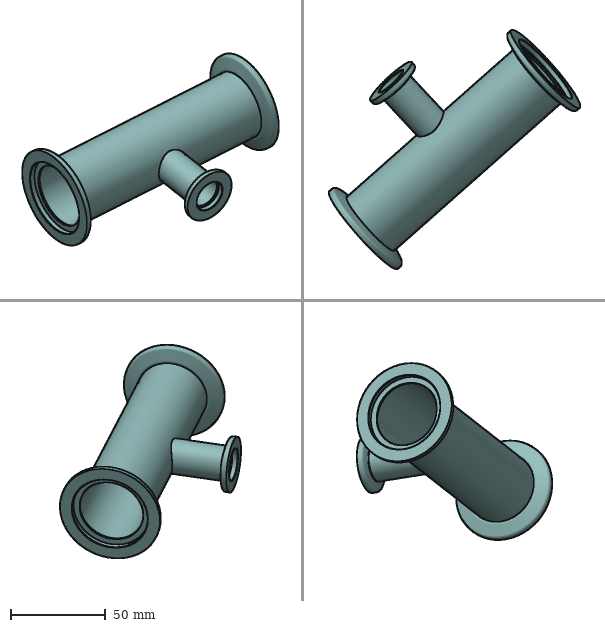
import cadquery as cq
import math

overall_length = 130.0
run_outer_radius = 19.0
run_bore_radius = 17.4
branch_reach = 50.0
branch_outer_radius = 9.5
branch_bore_radius = 8.0

run_flange_radius = 27.4
run_flange_thickness = 5.1
run_recess_radius = 20.7
branch_flange_radius = 15.0
branch_flange_thickness = 4.5
branch_recess_radius = 8.6
rim_width = 2.0
rim_round = 1.5
cone_angle = math.radians(15)
recess_depth = 3.0
recess_chamfer = 0.3
shoulder_thickness = 1.0
tube_setback = recess_depth + shoulder_thickness


def make_flange(outer, thickness, recess, bore, socket):
    """Flange about +Z with its sealing face at Z = 0 and the tube entering from +Z."""
    round_centre_r = outer - rim_round

    def round_point(angle):
        return (round_centre_r + rim_round * math.cos(angle), rim_width + rim_round * math.sin(angle))

    arc_sweep = math.pi / 2 - cone_angle
    cone_start_r, cone_start_z = round_point(arc_sweep)
    cone_end_r = cone_start_r - (thickness - cone_start_z) / math.tan(cone_angle)
    return (
        cq.Workplane("XZ")
        .moveTo(recess + recess_chamfer, 0)
        .lineTo(outer, 0)
        .lineTo(outer, rim_width)
        .threePointArc(round_point(arc_sweep / 2), (cone_start_r, cone_start_z))
        .lineTo(cone_end_r, thickness)
        .lineTo(socket, thickness)
        .lineTo(socket, tube_setback)
        .lineTo(bore, tube_setback)
        .lineTo(bore, recess_depth)
        .lineTo(recess, recess_depth)
        .lineTo(recess, recess_chamfer)
        .close()
        .revolve(360, (0, 0, 0), (0, 1, 0))
    )


def make_tee():
    """Run tube with its side branch, bored through in both directions."""
    half_run = overall_length / 2 - tube_setback
    branch_length = branch_reach - tube_setback

    def run_rod(radius):
        return cq.Workplane("XZ").circle(radius).extrude(half_run, both=True)

    def branch_rod(radius):
        return cq.Workplane("YZ").circle(radius).extrude(branch_length)

    outside = run_rod(run_outer_radius).union(branch_rod(branch_outer_radius))
    return outside.cut(run_rod(run_bore_radius)).cut(branch_rod(branch_bore_radius))


def make_run_flange(end):
    """Flange at the -Y end (end = -1) or the +Y end (end = 1)."""
    flange = make_flange(
        run_flange_radius, run_flange_thickness, run_recess_radius, run_bore_radius, run_outer_radius
    )
    turned = flange.rotate((0, 0, 0), (1, 0, 0), end * 90)
    return turned.translate((0, end * overall_length / 2, 0))


def make_branch_flange():
    flange = make_flange(
        branch_flange_radius,
        branch_flange_thickness,
        branch_recess_radius,
        branch_bore_radius,
        branch_outer_radius,
    )
    return flange.rotate((0, 0, 0), (0, 1, 0), -90).translate((branch_reach, 0, 0))


tee = make_tee()
run_flanges = [make_run_flange(end) for end in (-1, 1)]
branch_flange = make_branch_flange()

result = cq.Compound.makeCompound(
    [tee.val(), *[flange.val() for flange in run_flanges], branch_flange.val()]
)